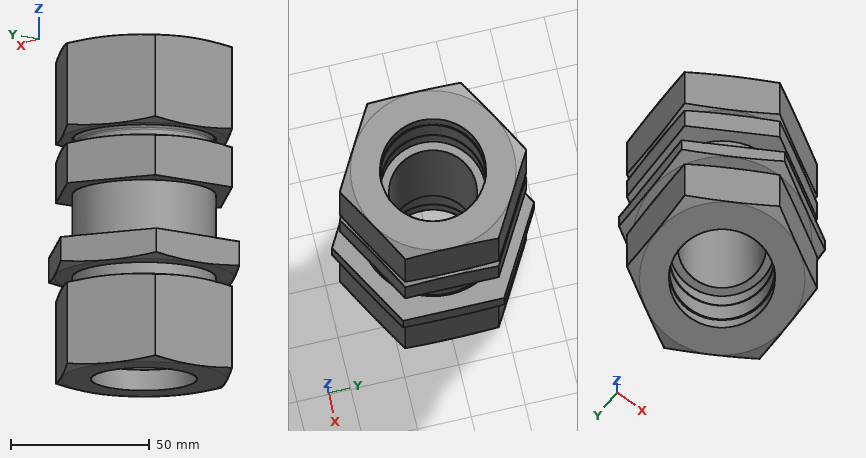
import cadquery as cq
import math


LENGTH = 121.0
MID_Z = LENGTH / 2
CAP_HEIGHT = 32.5
LOCKNUT_BOTTOM = 37.5
LOCKNUT_HEIGHT = 10.2
BODY_HEX_BOTTOM = 68.0
BODY_HEX_TOP = 84.0

HEX_ACROSS_FLATS = 60.0
LOCKNUT_ACROSS_FLATS = 65.0
CHAMFER_ANGLE = 15.0
CHAMFER_INSET = 0.1

THREAD_DIAMETER = 52.0
NECK_DIAMETER = 49.0
NECK_FILLET = 1.2
RUNOUT_ANGLE = 30.0
NECK_TOP = 87.1
LOCKNUT_COUNTERSINK = 0.7

BORE_DIAMETER = 32.0
TUBE_CLEARANCE_DIAMETER = 38.4
TUBE_STOP_Z = 90.8

RING_BORE_DIAMETER = 38.0
RING_COLLAR_DIAMETER = 44.0
RING_OUTER_Z = 113.4
RING_INNER_Z = 100.0
SHOULDER_HEIGHT = 2.5
SEAT_MOUTH_DIAMETER = 41.1
SEAT_HALF_ANGLE = 12.0

THREAD_RADIUS = THREAD_DIAMETER / 2
NECK_RADIUS = NECK_DIAMETER / 2
CLEARANCE_RADIUS = TUBE_CLEARANCE_DIAMETER / 2
RING_BORE_RADIUS = RING_BORE_DIAMETER / 2
COLLAR_RADIUS = RING_COLLAR_DIAMETER / 2
SEAT_MOUTH_RADIUS = SEAT_MOUTH_DIAMETER / 2
SEAT_DEPTH = (SEAT_MOUTH_RADIUS - CLEARANCE_RADIUS) / math.tan(math.radians(SEAT_HALF_ANGLE))
BODY_TOP = RING_INNER_Z + SEAT_DEPTH

COLLAR_PROFILE = [
    (COLLAR_RADIUS, BODY_TOP),
    (COLLAR_RADIUS, RING_OUTER_Z - SHOULDER_HEIGHT),
    (COLLAR_RADIUS - SHOULDER_HEIGHT, RING_OUTER_Z),
]


def revolve(points):
    """Turn a closed (radius, z) outline around the Z axis."""
    return cq.Workplane("XZ").polyline(points).close().revolve(360, (0, 0, 0), (0, 1, 0))


def cylinder(radius, bottom, top):
    return cq.Workplane("XY").workplane(offset=bottom).circle(radius).extrude(top - bottom)


def mirror_ends(solid):
    """Copy a feature of the upper end to the lower end."""
    return solid.mirror("XY", (0, 0, MID_Z))


def hexagon(across_flats, bottom, top, chamfer_bottom=False, chamfer_top=False):
    """Hexagonal prism with flats facing +X and -X and conical corner chamfers."""
    corner = across_flats / math.sqrt(3)
    prism = cq.Workplane("XY").workplane(offset=bottom).polygon(6, 2 * corner).extrude(top - bottom)
    prism = prism.rotate((0, 0, 0), (0, 0, 1), 30)
    face_radius = across_flats / 2 - CHAMFER_INSET
    rim_radius = corner + CHAMFER_INSET
    drop = (rim_radius - face_radius) * math.tan(math.radians(CHAMFER_ANGLE))
    outline = [(0, bottom)]
    if chamfer_bottom:
        outline += [(face_radius, bottom), (rim_radius, bottom + drop)]
    else:
        outline += [(rim_radius, bottom)]
    if chamfer_top:
        outline += [(rim_radius, top - drop), (face_radius, top)]
    else:
        outline += [(rim_radius, top)]
    outline += [(0, top)]
    return prism.intersect(revolve(outline))


def make_ring():
    """Upper cutting ring: conical nose in the body seat, collar and 45 degree shoulder in the cap."""
    return revolve([
        (RING_BORE_RADIUS, RING_INNER_Z),
        (CLEARANCE_RADIUS, RING_INNER_Z),
        (SEAT_MOUTH_RADIUS, BODY_TOP),
        *COLLAR_PROFILE,
        (RING_BORE_RADIUS, RING_OUTER_Z),
    ])


def make_cap_nut():
    """Upper cap nut, hollowed to fit the body thread and the cutting ring."""
    cap_bottom = LENGTH - CAP_HEIGHT
    cavity = revolve([
        (0, cap_bottom),
        (THREAD_RADIUS, cap_bottom),
        (THREAD_RADIUS, BODY_TOP),
        *COLLAR_PROFILE,
        (CLEARANCE_RADIUS, RING_OUTER_Z),
        (CLEARANCE_RADIUS, LENGTH),
        (0, LENGTH),
    ])
    return hexagon(HEX_ACROSS_FLATS, cap_bottom, LENGTH, True, True).cut(cavity)


def make_locknut():
    """Hexagonal lock nut on the long thread, countersunk on its clamping face."""
    top = LOCKNUT_BOTTOM + LOCKNUT_HEIGHT
    threaded_hole = revolve([
        (0, LOCKNUT_BOTTOM),
        (THREAD_RADIUS, LOCKNUT_BOTTOM),
        (THREAD_RADIUS, top - LOCKNUT_COUNTERSINK),
        (THREAD_RADIUS + LOCKNUT_COUNTERSINK, top),
        (0, top),
    ])
    return hexagon(LOCKNUT_ACROSS_FLATS, LOCKNUT_BOTTOM, top, chamfer_bottom=True).cut(threaded_hole)


def make_tube_socket():
    """Upper tube socket: clearance bore that opens into the conical ring seat."""
    return revolve([
        (0, TUBE_STOP_Z),
        (CLEARANCE_RADIUS, TUBE_STOP_Z),
        (CLEARANCE_RADIUS, RING_INNER_Z),
        (SEAT_MOUTH_RADIUS, BODY_TOP),
        (0, BODY_TOP),
    ])


def make_neck_groove():
    """Thread undercut above the body hexagon: filleted foot, and a blended conical run-out to the thread."""
    foot_mid = NECK_FILLET * (1 - math.sqrt(0.5))
    blend_end_radius = NECK_RADIUS + NECK_FILLET * (1 - math.cos(math.radians(RUNOUT_ANGLE)))
    blend_end_z = NECK_TOP + NECK_FILLET * math.sin(math.radians(RUNOUT_ANGLE))
    runout_rise = (THREAD_RADIUS - blend_end_radius) / math.tan(math.radians(RUNOUT_ANGLE))
    return (
        cq.Workplane("XZ")
        .moveTo(THREAD_RADIUS, BODY_HEX_TOP)
        .lineTo(NECK_RADIUS + NECK_FILLET, BODY_HEX_TOP)
        .threePointArc(
            (NECK_RADIUS + foot_mid, BODY_HEX_TOP + foot_mid),
            (NECK_RADIUS, BODY_HEX_TOP + NECK_FILLET),
        )
        .lineTo(NECK_RADIUS, NECK_TOP)
        .tangentArcPoint((blend_end_radius, blend_end_z), relative=False)
        .lineTo(THREAD_RADIUS, blend_end_z + runout_rise)
        .close()
        .revolve(360, (0, 0, 0), (0, 1, 0))
    )


def make_body():
    """Threaded body with its hexagon, neck groove, through bore and two tube sockets."""
    body = cylinder(THREAD_RADIUS, LENGTH - BODY_TOP, BODY_TOP)
    body = body.cut(make_neck_groove())
    body = body.union(hexagon(HEX_ACROSS_FLATS, BODY_HEX_BOTTOM, BODY_HEX_TOP, chamfer_top=True))
    body = body.cut(cylinder(BORE_DIAMETER / 2, 0, LENGTH))
    socket = make_tube_socket()
    return body.cut(socket).cut(mirror_ends(socket))


body = make_body()
locknut = make_locknut()
upper_cap = make_cap_nut()
upper_ring = make_ring()
cap_nuts = [upper_cap, mirror_ends(upper_cap)]
cutting_rings = [upper_ring, mirror_ends(upper_ring)]

result = cq.Compound.makeCompound(
    [body.val(), locknut.val()] + [part.val() for part in cap_nuts + cutting_rings]
)